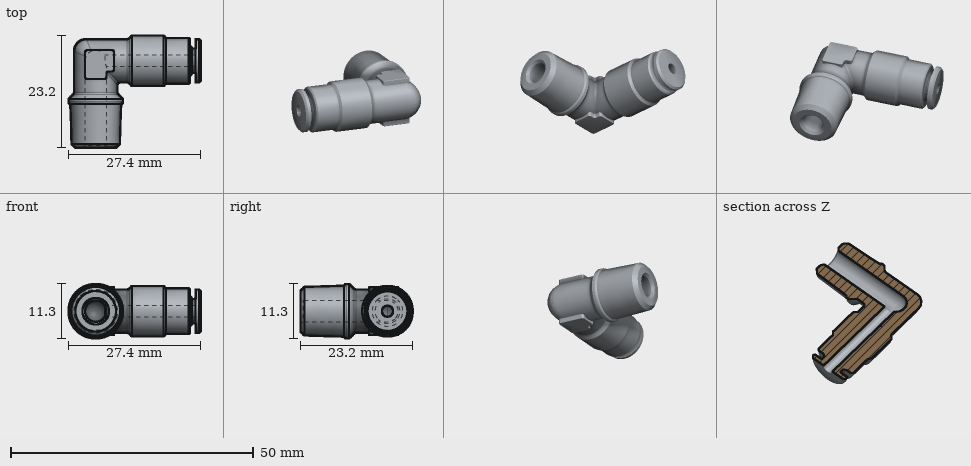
import cadquery as cq
import math


TUBE_R = 4.5
NECK_START = 6.5
NECK_FILLET = 0.6
OUTER_ELBOW_FILLET = 2.5
INNER_ELBOW_FILLET = 0.5

BODY_R = 5.25
BODY_END = 14.0
SLEEVE_R = 4.75
SLEEVE_END = 19.5
SLEEVE_CHAMFER = 0.3
CONE_R = 3.15
BUTTON_NECK_R = 2.55
BUTTON_NECK_START = 19.9
BUTTON_FLANGE_START = 20.65
BUTTON_FLANGE_R = 4.5
BUTTON_NECK_FILLET = 0.2
BUTTON_END = 21.7
BUTTON_CHAMFER = 0.4

COLLAR_R = 5.65
COLLAR_END = 8.95
COLLAR_FILLET = 0.5
THREAD_R = 5.3
THREAD_TAPER = 1 / 32
PORT_END = 18.0
PORT_CHAMFER = 0.85

BORE_R = 2.2
BORE_CHAMFER = 0.55
TUBE_BORE_R = 1.15

PAD_NEAR = 2.2
PAD_FAR = 3.8
PAD_HEIGHT = 4.95
PAD_CORNER_R = 0.5
PAD_EDGE_FILLET = 0.1


def flare_points():
    """Return the middle and end of the neck fillet, as (along, radius)."""
    middle, end = (
        (NECK_START + NECK_FILLET * math.sin(a), TUBE_R + NECK_FILLET * (1 - math.cos(a)))
        for a in (math.pi / 8, math.pi / 4)
    )
    return middle, end


def flare_end(radius):
    """Return the distance at which the 45 degree flare reaches a radius."""
    along, start_radius = flare_points()[1]
    return along + radius - start_radius


def tube_port():
    """Revolve the neck, body, sleeve and release button about the X axis."""
    step = BODY_R - SLEEVE_R
    fillet = BUTTON_NECK_FILLET
    bend = fillet * (1 - math.sqrt(0.5))
    profile = (
        cq.Workplane("XZ")
        .lineTo(0, TUBE_R)
        .lineTo(NECK_START, TUBE_R)
        .threePointArc(*flare_points())
        .lineTo(flare_end(BODY_R), BODY_R)
        .lineTo(BODY_END, BODY_R)
        .lineTo(BODY_END + step, SLEEVE_R)
        .lineTo(SLEEVE_END - SLEEVE_CHAMFER, SLEEVE_R)
        .lineTo(SLEEVE_END, SLEEVE_R - SLEEVE_CHAMFER)
        .lineTo(SLEEVE_END, CONE_R)
        .lineTo(BUTTON_NECK_START, BUTTON_NECK_R)
        .lineTo(BUTTON_FLANGE_START - fillet, BUTTON_NECK_R)
        .threePointArc(
            (BUTTON_FLANGE_START - bend, BUTTON_NECK_R + bend),
            (BUTTON_FLANGE_START, BUTTON_NECK_R + fillet),
        )
        .lineTo(BUTTON_FLANGE_START, BUTTON_FLANGE_R)
        .lineTo(BUTTON_END - BUTTON_CHAMFER, BUTTON_FLANGE_R)
        .lineTo(BUTTON_END, BUTTON_FLANGE_R - BUTTON_CHAMFER)
        .lineTo(BUTTON_END, 0)
        .close()
    )
    return profile.revolve(360, (0, 0, 0), (1, 0, 0))


def threaded_port():
    """Build the port along +X, then turn it to point along -Y."""
    fillet_center = (COLLAR_END - COLLAR_FILLET, COLLAR_R - COLLAR_FILLET)
    end_angle = math.asin((THREAD_R - fillet_center[1]) / COLLAR_FILLET)
    fillet_middle, fillet_end = (
        (fillet_center[0] + COLLAR_FILLET * math.cos(a), fillet_center[1] + COLLAR_FILLET * math.sin(a))
        for a in ((math.pi / 2 + end_angle) / 2, end_angle)
    )
    chamfer_start = PORT_END - PORT_CHAMFER
    tip_r = THREAD_R - THREAD_TAPER * (chamfer_start - fillet_end[0])
    profile = (
        cq.Workplane("XZ")
        .lineTo(0, TUBE_R)
        .lineTo(NECK_START, TUBE_R)
        .threePointArc(*flare_points())
        .lineTo(flare_end(COLLAR_R), COLLAR_R)
        .lineTo(fillet_center[0], COLLAR_R)
        .threePointArc(fillet_middle, fillet_end)
        .lineTo(chamfer_start, tip_r)
        .lineTo(PORT_END, tip_r - PORT_CHAMFER)
        .lineTo(PORT_END, 0)
        .close()
    )
    port = profile.revolve(360, (0, 0, 0), (1, 0, 0))
    return port.rotate((0, 0, 0), (0, 0, 1), -90)


def miter_corner():
    """Fill the outer corner where both tubes, run past the origin, overlap."""
    along_x = cq.Workplane("YZ").circle(TUBE_R).extrude(-2 * TUBE_R)
    along_y = cq.Workplane("XZ").circle(TUBE_R).extrude(-2 * TUBE_R)
    return along_x.intersect(along_y)


def wrench_pads():
    """Build both pads as one notched block whose middle lies inside the tubes."""
    outline = (
        cq.Workplane("XY")
        .moveTo(-PAD_NEAR, PAD_NEAR)
        .lineTo(PAD_FAR, PAD_NEAR)
        .lineTo(PAD_FAR, -PAD_NEAR)
        .lineTo(PAD_NEAR, -PAD_NEAR)
        .lineTo(PAD_NEAR, -PAD_FAR)
        .lineTo(-PAD_NEAR, -PAD_FAR)
        .close()
    )
    pads = outline.extrude(PAD_HEIGHT, both=True).edges("|Z").fillet(PAD_CORNER_R)
    return pads.faces("<Z or >Z").edges().fillet(PAD_EDGE_FILLET)


def round_elbow(body, side, radius):
    """Round the mitre edge in the outer (side=-1) or the inner (side=1) corner."""
    corner = side * TUBE_R
    reach = TUBE_R / 2
    region = cq.selectors.BoxSelector(
        (corner - reach, -corner - reach, -TUBE_R),
        (corner + reach, -corner + reach, TUBE_R),
    )
    return body.edges(region).edges("%ELLIPSE").fillet(radius)


def bores():
    """Join the chamfered, round-ended thread bore and the narrower tube bore."""
    bore = cq.Workplane("XZ").circle(BORE_R).extrude(PORT_END)
    mouth_r = BORE_R + BORE_CHAMFER
    port_face = cq.Vector(0, -PORT_END, 0)
    mouth = cq.Solid.makeCone(mouth_r, BORE_R, BORE_CHAMFER, port_face, cq.Vector(0, 1, 0))
    tube_bore = cq.Workplane("YZ").circle(TUBE_BORE_R).extrude(BUTTON_END)
    rounded_end = cq.Workplane("XY").sphere(BORE_R)
    return bore.union(cq.Workplane(mouth)).union(rounded_end).union(tube_bore)


body = tube_port().union(threaded_port()).union(miter_corner()).union(wrench_pads())
body = round_elbow(body, -1, OUTER_ELBOW_FILLET)
body = round_elbow(body, 1, INNER_ELBOW_FILLET)
result = body.cut(bores())